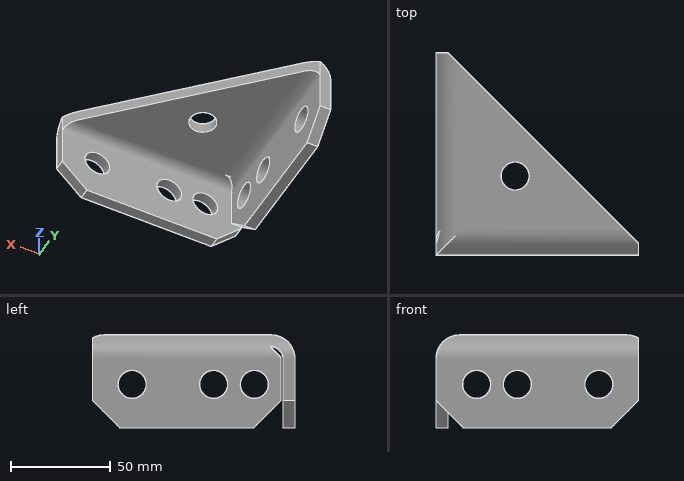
import cadquery as cq

leg_length = 102.0
height = 47.0
thickness = 6.1
bend_radius = 2 * thickness
corner_chamfer = 14.0
relief_gap = 0.9

hole_diameter = 14.0
flange_hole_positions = (20.5, 41.0, 82.0)
flange_hole_height = 22.0
top_hole_position = 39.9

inner_radius = bend_radius - thickness
inner_top = height - thickness
relief_edge = thickness + relief_gap


def rounded_block(start, top, radius):
    """Block standing on Z = 0 in the corner, its two upper outer edges rounded and mitred together."""
    size = leg_length - start
    block = cq.Workplane("XY").box(size, size, top, centered=False)
    block = block.translate((start, start, 0))
    return block.edges(">Z and (<X or <Y)").fillet(radius)


def prism(plane, points, depth):
    """Prism with the given outline, running from the origin plane into the part."""
    direction = -1 if plane == "XZ" else 1
    return cq.Workplane(plane).polyline(points).close().extrude(direction * depth)


def chamfer_cutter(plane, start):
    """Two corner triangles for the lower ends of a flange that begins at start."""
    def corner(edge, inward):
        points = [(edge, 0), (edge + inward, 0), (edge, corner_chamfer)]
        return prism(plane, points, thickness)

    return corner(start, corner_chamfer).union(corner(leg_length, -corner_chamfer))


def flange_holes(plane):
    """Row of three holes through one flange."""
    direction = -1 if plane == "XZ" else 1
    centers = [(position, flange_hole_height) for position in flange_hole_positions]
    holes = cq.Workplane(plane).pushPoints(centers).circle(hole_diameter / 2)
    return holes.extrude(direction * thickness)


def bend_relief():
    """Slot freeing the X = 0 flange from the other one, ending in a sliver under the bend."""
    bend_start = height - bend_radius
    arc_offset = inner_radius * 0.5**0.5
    outline = (
        cq.Workplane("YZ")
        .moveTo(thickness, 0)
        .lineTo(relief_edge, 0)
        .lineTo(relief_edge, bend_start + relief_gap)
        .lineTo(bend_radius, inner_top)
        .threePointArc(
            (bend_radius - arc_offset, bend_start + arc_offset),
            (thickness, bend_start),
        )
        .close()
    )
    return outline.extrude(bend_radius)


body = rounded_block(0, height, bend_radius)
body = body.cut(rounded_block(thickness, inner_top, inner_radius))

diagonal = [(leg_length, thickness), (leg_length, leg_length), (thickness, leg_length)]
body = body.cut(prism("XY", diagonal, height))

body = body.cut(bend_relief())
for plane, flange_start in (("XZ", 0), ("YZ", relief_edge)):
    body = body.cut(chamfer_cutter(plane, flange_start))
    body = body.cut(flange_holes(plane))

top_hole = (
    cq.Workplane("XY")
    .center(top_hole_position, top_hole_position)
    .circle(hole_diameter / 2)
    .extrude(height)
)
result = body.cut(top_hole)